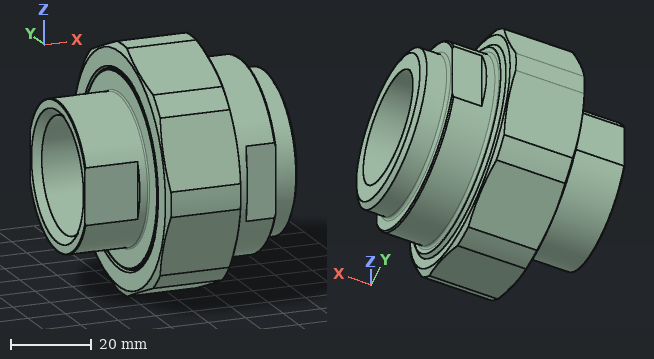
import cadquery as cq
import math

total_length = 56.0
bore_radius = 30.3 / 2

nut_start = 16.4
nut_length = 20.1
nut_end = nut_start + nut_length
nut_corner_radius = 32.35
nut_across_flats = 61.95
nut_side_count = 8
nut_face_radius = 30.45
nut_face_chamfer = 0.8
nut_lip_radius = 50.5 / 2
nut_lip_chamfer = 0.5
nut_thread_radius = 55.8 / 2
nut_lip_length = 4.0
nut_lip_end = nut_start + nut_lip_length

tail_radius = 39.0 / 2
tail_end_chamfer = 0.2
tail_bore_chamfer = 1.95
tail_fillet = 0.4
tail_flange_radius = 50.0 / 2
tail_flange_chamfer = 0.25
collar_radius = 54.0 / 2
collar_length = 4.0
seat_x = nut_lip_end + collar_length
tail_flat_length = 14.05
tail_across_flats = 36.0

thread_chamfer = 1.0
shoulder_x = nut_end + thread_chamfer
body_radius = 50.0 / 2
body_end = 48.9
body_chamfer = 0.4
step_fillet = 0.8
neck_radius = 42.4 / 2
neck_chamfer_length = 1.05
neck_chamfer_depth = 1.8
body_flat_start = 40.95
body_across_flats = 46.05
body_flat_run_out = 0.45


def revolve_about_x(profile):
    """Revolve a closed (axial, radial) outline a full turn about the X axis."""
    return profile.close().revolve(360, (0, 0, 0), (1, 0, 0))


def fillet_middle(face_x, shaft_radius, fillet, side):
    """Middle point of a concave fillet on the +X (side=1) or -X (side=-1) side of a face."""
    offset = fillet * (1 - math.sqrt(0.5))
    return (face_x + side * offset, shaft_radius + offset)


def make_nut():
    """Octagon with rounded corners, both faces chamfered, lipped bore."""
    corner_diameter = nut_across_flats / math.cos(math.pi / nut_side_count)
    octagon = (
        cq.Workplane("YZ", origin=(nut_start, 0, 0))
        .polygon(nut_side_count, corner_diameter)
        .extrude(nut_length)
    )
    ring = revolve_about_x(
        cq.Workplane("XY")
        .moveTo(nut_start, nut_lip_radius + nut_lip_chamfer)
        .lineTo(nut_start, nut_face_radius)
        .lineTo(nut_start + nut_face_chamfer, nut_corner_radius)
        .lineTo(nut_end - nut_face_chamfer, nut_corner_radius)
        .lineTo(nut_end, nut_face_radius)
        .lineTo(nut_end, nut_thread_radius)
        .lineTo(nut_lip_end, nut_thread_radius)
        .lineTo(nut_lip_end, nut_lip_radius)
        .lineTo(nut_start + nut_lip_chamfer, nut_lip_radius)
    )
    return octagon.intersect(ring)


def make_tail():
    """Tail tube with two wrench flats and a collar held behind the nut lip."""
    profile = (
        cq.Workplane("XY")
        .moveTo(0, bore_radius + tail_bore_chamfer)
        .lineTo(0, tail_radius - tail_end_chamfer)
        .lineTo(tail_end_chamfer, tail_radius)
        .lineTo(nut_start - tail_fillet, tail_radius)
        .threePointArc(
            fillet_middle(nut_start, tail_radius, tail_fillet, -1),
            (nut_start, tail_radius + tail_fillet),
        )
        .lineTo(nut_start, tail_flange_radius - tail_flange_chamfer)
        .lineTo(nut_start + tail_flange_chamfer, tail_flange_radius)
        .lineTo(nut_lip_end, tail_flange_radius)
        .lineTo(nut_lip_end, collar_radius)
        .lineTo(seat_x, collar_radius)
        .lineTo(seat_x, bore_radius)
        .lineTo(tail_bore_chamfer, bore_radius)
    )
    tail = revolve_about_x(profile)
    half_flats = tail_across_flats / 2
    flat_cut = (
        cq.Workplane("XY")
        .moveTo(0, half_flats)
        .lineTo(tail_flat_length, half_flats)
        .lineTo(tail_flat_length, tail_radius)
        .lineTo(0, tail_radius)
        .close()
        .extrude(tail_radius, both=True)
    )
    return tail.cut(flat_cut).cut(flat_cut.mirror("XZ"))


def make_threaded_end():
    """Stepped end that screws into the nut, with two wrench flats."""
    profile = (
        cq.Workplane("XY")
        .moveTo(seat_x, bore_radius)
        .lineTo(seat_x, nut_thread_radius)
        .lineTo(nut_end, nut_thread_radius)
        .lineTo(shoulder_x, nut_thread_radius - thread_chamfer)
        .lineTo(shoulder_x, body_radius + step_fillet)
        .threePointArc(
            fillet_middle(shoulder_x, body_radius, step_fillet, 1),
            (shoulder_x + step_fillet, body_radius),
        )
        .lineTo(body_end - body_chamfer, body_radius)
        .lineTo(body_end, body_radius - body_chamfer)
        .lineTo(body_end, neck_radius + step_fillet)
        .threePointArc(
            fillet_middle(body_end, neck_radius, step_fillet, 1),
            (body_end + step_fillet, neck_radius),
        )
        .lineTo(total_length - neck_chamfer_length, neck_radius)
        .lineTo(total_length, neck_radius - neck_chamfer_depth)
        .lineTo(total_length, bore_radius)
    )
    threaded_end = revolve_about_x(profile)
    half_flats = body_across_flats / 2
    flat_cut = (
        cq.Workplane("XY")
        .moveTo(body_flat_start, half_flats)
        .lineTo(body_end, half_flats)
        .lineTo(body_end, body_radius)
        .lineTo(body_flat_start - body_flat_run_out, body_radius)
        .close()
        .extrude(body_radius, both=True)
    )
    return threaded_end.cut(flat_cut).cut(flat_cut.mirror("XZ"))


nut = make_nut()
tail = make_tail()
threaded_end = make_threaded_end()

result = cq.Compound.makeCompound([nut.val(), tail.val(), threaded_end.val()])